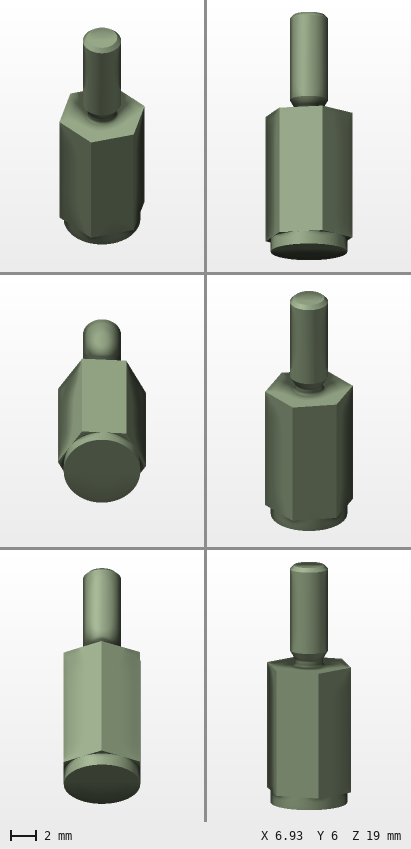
import cadquery as cq
import math

total_height = 19.0
across_flats = 6.0
collar_height = 1.0
hex_height = 10.0
stud_diameter = 3.0
tip_chamfer = 0.3

neck_diameter = 2.2
neck_fillet = 0.2
neck_straight_top = 0.44
flare_angle = math.radians(30)

across_corners = across_flats / math.cos(math.radians(30))
hex_top = collar_height + hex_height
stud_radius = stud_diameter / 2
neck_radius = neck_diameter / 2
flare_start_z = hex_top + neck_straight_top


def make_body():
    """Hexagonal body, corners on X, standing on a round collar."""
    collar = cq.Workplane("XY").circle(across_flats / 2).extrude(collar_height)
    hexagon = (
        cq.Workplane("XY")
        .workplane(offset=collar_height)
        .polygon(6, across_corners)
        .extrude(hex_height)
    )
    return collar.union(hexagon)


def flare_arc_point(angle):
    """Point on the upper neck fillet, after turning outward by the angle."""
    radius = neck_radius + neck_fillet * (1 - math.cos(angle))
    height = flare_start_z + neck_fillet * math.sin(angle)
    return radius, height


def make_stud():
    """Revolved stud with a filleted undercut and a chamfered tip."""
    root_arc_middle = (
        neck_radius + neck_fillet * (1 - math.cos(math.pi / 4)),
        hex_top + neck_fillet * (1 - math.sin(math.pi / 4)),
    )
    cone_start_radius, cone_start_z = flare_arc_point(flare_angle)
    cone_end_z = cone_start_z + (stud_radius - cone_start_radius) / math.tan(flare_angle)
    profile = (
        cq.Workplane("XZ")
        .moveTo(0, collar_height)
        .lineTo(neck_radius + neck_fillet, collar_height)
        .lineTo(neck_radius + neck_fillet, hex_top)
        .threePointArc(root_arc_middle, (neck_radius, hex_top + neck_fillet))
        .lineTo(neck_radius, flare_start_z)
        .threePointArc(flare_arc_point(flare_angle / 2), (cone_start_radius, cone_start_z))
        .lineTo(stud_radius, cone_end_z)
        .lineTo(stud_radius, total_height - tip_chamfer)
        .lineTo(stud_radius - tip_chamfer, total_height)
        .lineTo(0, total_height)
        .close()
    )
    return profile.revolve(360, (0, 0, 0), (0, 1, 0))


result = make_body().union(make_stud())